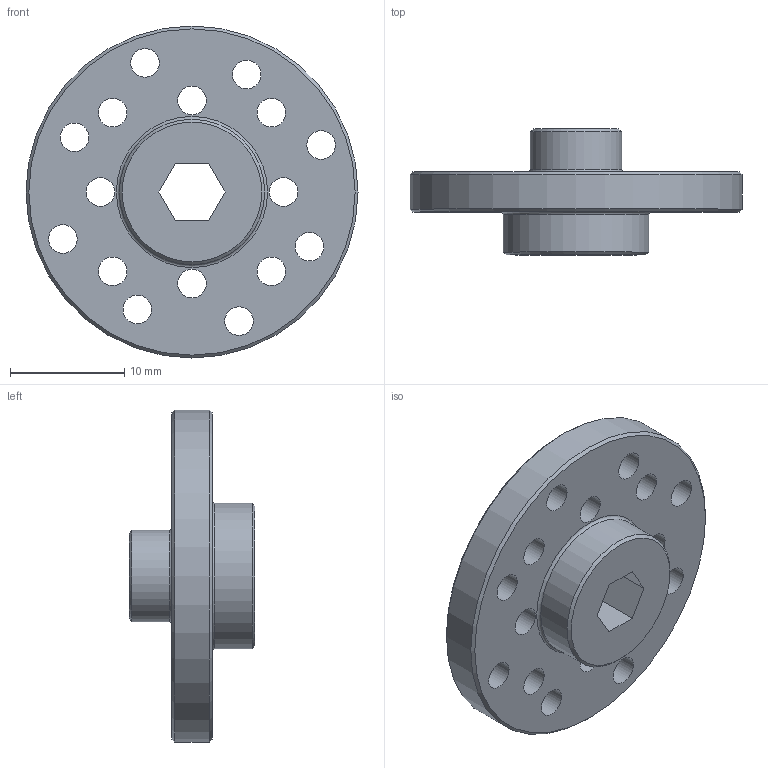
import cadquery as cq
import math

flange_diameter = 29.0
flange_thickness = 3.5
boss_length = 3.75
front_boss_diameter = 12.7
rear_boss_diameter = 8.0
edge_chamfer = 0.25
root_fillet = 0.25

hex_across_flats = 5.0
hex_across_corners = hex_across_flats / math.cos(math.pi / 6)

hole_diameter = 2.5
hole_circles = [
    (8.0, 0.0),
    (9.8, 45.0),
    (12.0, 20.0),
    (8.0 * math.sqrt(2), 65.0),
]
holes_per_circle = 4

front_face_y = -flange_thickness / 2
rear_face_y = flange_thickness / 2
hub_length = flange_thickness + 2 * boss_length
root_box_reach = (flange_diameter + front_boss_diameter) / 4


def disc(diameter, y_start, length):
    """Cylinder on the Y axis running from y_start towards +Y."""
    return cq.Workplane("XZ", origin=(0, y_start, 0)).circle(diameter / 2).extrude(-length)


def hub_body():
    """Flange with a boss on each side: chamfered outer edges, filleted boss roots."""
    flange = disc(flange_diameter, front_face_y, flange_thickness).edges("%CIRCLE").chamfer(edge_chamfer)
    front_boss = disc(front_boss_diameter, front_face_y - boss_length, boss_length)
    front_boss = front_boss.faces("<Y").edges().chamfer(edge_chamfer)
    rear_boss = disc(rear_boss_diameter, rear_face_y, boss_length)
    rear_boss = rear_boss.faces(">Y").edges().chamfer(edge_chamfer)
    body = flange.union(front_boss).union(rear_boss)

    root_box = cq.selectors.BoxSelector(
        (-root_box_reach, front_face_y - root_fillet, -root_box_reach),
        (root_box_reach, rear_face_y + root_fillet, root_box_reach),
        boundingbox=True,
    )
    return body.edges(root_box).fillet(root_fillet)


def hex_bore():
    """Hexagonal through bore with two corners on the X direction."""
    plane = cq.Workplane("XZ", origin=(0, front_face_y - boss_length, 0))
    return plane.polygon(6, hex_across_corners).extrude(-hub_length)


def flange_holes(radius, first_angle):
    """Evenly spaced through holes on one circle of the flange."""
    plane = cq.Workplane("XZ", origin=(0, front_face_y, 0))
    centres = plane.polarArray(radius, first_angle, 360, holes_per_circle)
    return centres.circle(hole_diameter / 2).extrude(-flange_thickness)


result = hub_body().cut(hex_bore())
for circle_radius, start_angle in hole_circles:
    result = result.cut(flange_holes(circle_radius, start_angle))